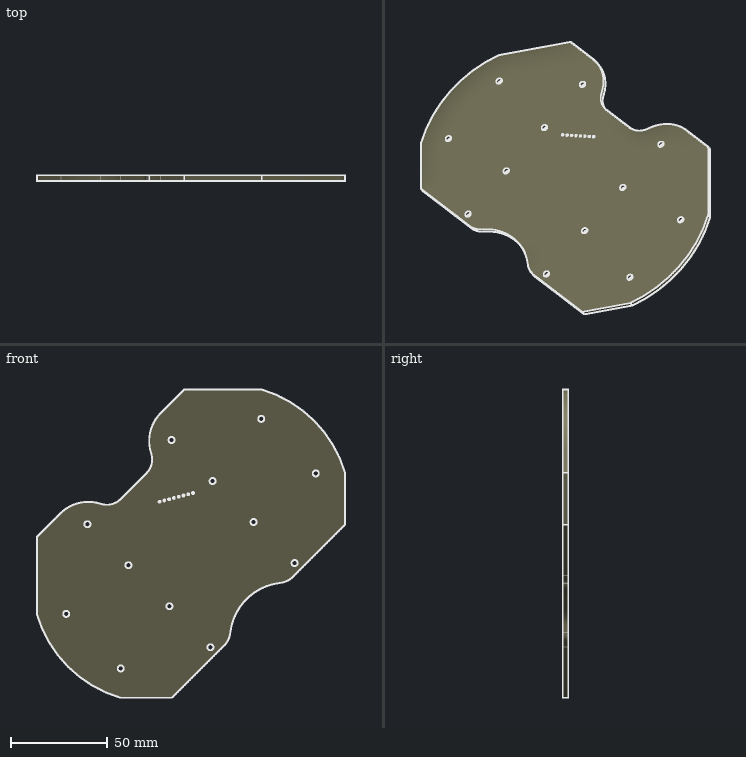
import cadquery as cq
import math

SIZE = 160.5
THICKNESS = 3.0
HALF = SIZE / 2

UPPER_EDGE = 83.8
WAIST_EDGE = 59.9
LOWER_EDGE = 70.3

ROUND_START = 36.8
ROUND_MIDDLE = 64.0
SHOULDER_START_X = -15.9
SHOULDER_MIDDLE = (-21.0, 59.0)
SHOULDER_END = (-20.9, 47.2)
NECK_MIDDLE = (-20.5, 41.4)
NECK_END_X = -23.0
LIP_START_X = 53.8
LIP_MIDDLE = (50.4, -19.3)
LIP_END = (46.0, -20.5)
NOTCH_MIDDLE = 28.9

MOUNT_DIAMETER = 3.0
ROW_U = 31.0
ROW_PITCH = 30.2
ROW_COUNT = 4
OUTER_U = 71.8
OUTER_V = 20.0

PIN_DIAMETER = 0.9
PIN_COUNT = 8
PIN_FIRST = (-16.4, 21.8)
PIN_PITCH = 2.5
PIN_ANGLE = math.radians(14.5)


def opposite(point):
    """Mirror a point across the line z = -x, onto the other lobe."""
    x, z = point
    return (-z, -x)


def from_diagonal(u, v):
    """Turn diagonal coordinates into x and z."""
    return ((u - v) / math.sqrt(2), (u + v) / math.sqrt(2))


def plate():
    neck_end = (NECK_END_X, NECK_END_X + WAIST_EDGE)
    shoulder_start = (SHOULDER_START_X, SHOULDER_START_X + UPPER_EDGE)
    top_left = (HALF - UPPER_EDGE, HALF)
    top_right = (ROUND_START, HALF)
    right_top = (HALF, ROUND_START)
    right_bottom = (HALF, HALF - LOWER_EDGE)
    lip_start = (LIP_START_X, LIP_START_X - LOWER_EDGE)
    return (
        cq.Workplane("XZ", origin=(0, THICKNESS / 2, 0))
        .moveTo(*neck_end)
        .threePointArc(NECK_MIDDLE, SHOULDER_END)
        .threePointArc(SHOULDER_MIDDLE, shoulder_start)
        .lineTo(*top_left)
        .lineTo(*top_right)
        .threePointArc((ROUND_MIDDLE, ROUND_MIDDLE), right_top)
        .lineTo(*right_bottom)
        .lineTo(*lip_start)
        .threePointArc(LIP_MIDDLE, LIP_END)
        .threePointArc((NOTCH_MIDDLE, -NOTCH_MIDDLE), opposite(LIP_END))
        .threePointArc(opposite(LIP_MIDDLE), opposite(lip_start))
        .lineTo(*opposite(right_bottom))
        .lineTo(*opposite(right_top))
        .threePointArc((-ROUND_MIDDLE, -ROUND_MIDDLE), opposite(top_right))
        .lineTo(*opposite(top_left))
        .lineTo(*opposite(shoulder_start))
        .threePointArc(opposite(SHOULDER_MIDDLE), opposite(SHOULDER_END))
        .threePointArc(opposite(NECK_MIDDLE), opposite(neck_end))
        .close()
        .extrude(THICKNESS)
    )


def mount_points():
    points = []
    for side in (-1, 1):
        for i in range(ROW_COUNT):
            v = (i - (ROW_COUNT - 1) / 2) * ROW_PITCH
            points.append(from_diagonal(side * ROW_U, v))
        for v in (-OUTER_V, OUTER_V):
            points.append(from_diagonal(side * OUTER_U, v))
    return points


def pin_points():
    step_x = PIN_PITCH * math.cos(PIN_ANGLE)
    step_z = PIN_PITCH * math.sin(PIN_ANGLE)
    x, z = PIN_FIRST
    return [(x + i * step_x, z + i * step_z) for i in range(PIN_COUNT)]


def through_holes(points, diameter):
    return (
        cq.Workplane("XZ", origin=(0, THICKNESS / 2, 0))
        .pushPoints(points)
        .circle(diameter / 2)
        .extrude(THICKNESS)
    )


result = (
    plate()
    .cut(through_holes(mount_points(), MOUNT_DIAMETER))
    .cut(through_holes(pin_points(), PIN_DIAMETER))
)